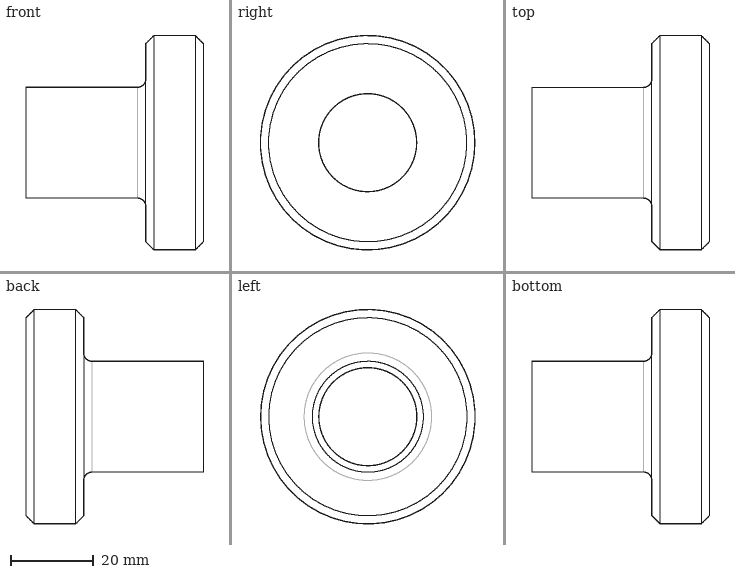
import cadquery as cq

total_length = 43.0
tube_diameter = 26.9
bore_diameter = 23.7
flange_diameter = 52.0
flange_thickness = 14.0
flange_chamfer = 2.0
neck_fillet = 2.0

flange_start = total_length - flange_thickness


def cylinder_along_x(diameter, start, length):
    """Solid cylinder centred on the X axis, beginning at X = start."""
    return cq.Workplane("YZ", origin=(start, 0, 0)).circle(diameter / 2).extrude(length)


def make_flange():
    """Disc with both outer rims chamfered."""
    disc = cylinder_along_x(flange_diameter, flange_start, flange_thickness)
    return disc.faces("<X or >X").edges().chamfer(flange_chamfer)


def make_body():
    """Flange and tube joined with a concave fillet at the neck."""
    tube = cylinder_along_x(tube_diameter, 0, flange_start)
    body = make_flange().union(tube)
    flange_back = body.faces("%PLANE").faces("<X[1]")
    neck_edge = flange_back.edges(cq.selectors.RadiusNthSelector(0))
    return neck_edge.fillet(neck_fillet)


result = make_body().cut(cylinder_along_x(bore_diameter, 0, total_length))